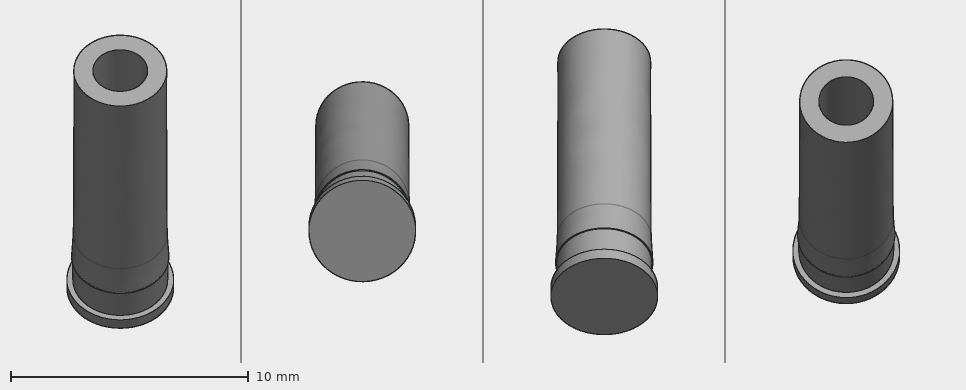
import cadquery as cq
import math


total_height = 14.1
flange_height = 0.55
collar_top = 2.03
barb_top = 3.55

flange_diameter = 4.5
collar_diameter = 4.0
barb_diameter = 4.1
body_base_diameter = 3.96
body_top_diameter = 3.92

bore_diameter = 2.3
bore_depth = 9.87
drill_point_angle = 118.0


def make_body():
    """Revolve the stepped outer profile about the Z axis."""
    return (
        cq.Workplane("XZ")
        .moveTo(0, 0)
        .lineTo(flange_diameter / 2, 0)
        .lineTo(flange_diameter / 2, flange_height)
        .lineTo(collar_diameter / 2, flange_height)
        .lineTo(collar_diameter / 2, collar_top)
        .lineTo(barb_diameter / 2, collar_top)
        .lineTo(body_base_diameter / 2, barb_top)
        .lineTo(body_top_diameter / 2, total_height)
        .lineTo(0, total_height)
        .close()
        .revolve(360, (0, 0, 0), (0, 1, 0))
    )


def make_bore():
    """Revolve the bore, straight down to its depth and then conical."""
    bore_radius = bore_diameter / 2
    shoulder_height = total_height - bore_depth
    point_length = bore_radius / math.tan(math.radians(drill_point_angle / 2))
    return (
        cq.Workplane("XZ")
        .moveTo(0, shoulder_height - point_length)
        .lineTo(bore_radius, shoulder_height)
        .lineTo(bore_radius, total_height)
        .lineTo(0, total_height)
        .close()
        .revolve(360, (0, 0, 0), (0, 1, 0))
    )


result = make_body().cut(make_bore())